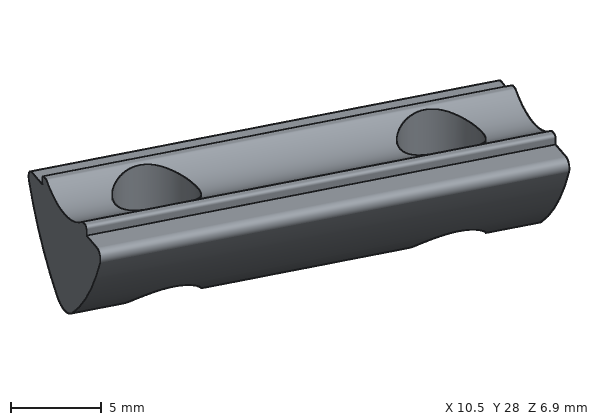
import cadquery as cq
import math

length = 28.0
width = 10.5
height = 6.9

shelf_depth = 0.6
lip_half_width = 3.22
lip_outer_fillet = 0.2
lip_inner_fillet = 0.2
groove_depth = 0.85
groove_radius = 4.55
shoulder_radius = 0.5
nose_radius = 1.82
flank_radius = 14.0

hole_diameter = 4.93
hole_spacing = 17.0


def point_on_circle(center, radius, angle):
    return (center[0] + radius * math.cos(angle), center[1] + radius * math.sin(angle))


def mirrored(point):
    return (-point[0], point[1])


shoulder_center = (width / 2 - shoulder_radius, -shelf_depth - shoulder_radius)
nose_center = (0, nose_radius - height)
shoulder_distance = flank_radius - shoulder_radius
nose_distance = flank_radius - nose_radius
center_dx = shoulder_center[0] - nose_center[0]
center_dz = shoulder_center[1] - nose_center[1]
center_gap = math.hypot(center_dx, center_dz)
along = (nose_distance**2 - shoulder_distance**2 + center_gap**2) / (2 * center_gap)
across = math.sqrt(nose_distance**2 - along**2)
flank_center = (
    nose_center[0] + (along * center_dx - across * center_dz) / center_gap,
    nose_center[1] + (along * center_dz + across * center_dx) / center_gap,
)

shoulder_angle = math.atan2(shoulder_center[1] - flank_center[1], shoulder_center[0] - flank_center[0])
nose_angle = math.atan2(nose_center[1] - flank_center[1], nose_center[0] - flank_center[0])
flank_top = point_on_circle(flank_center, flank_radius, shoulder_angle)
flank_middle = point_on_circle(flank_center, flank_radius, (shoulder_angle + nose_angle) / 2)
flank_bottom = point_on_circle(flank_center, flank_radius, nose_angle)

shelf_end = (shoulder_center[0], -shelf_depth)
shoulder_middle = point_on_circle(shoulder_center, shoulder_radius, (math.pi / 2 + shoulder_angle) / 2)
lip_foot = (lip_half_width, -shelf_depth)
lip_corner = (lip_half_width, 0)
groove_half_width = math.sqrt(groove_radius**2 - (groove_radius - groove_depth) ** 2)
groove_edge = (groove_half_width, 0)

bar = (
    cq.Workplane("XZ")
    .moveTo(*groove_edge)
    .lineTo(*lip_corner)
    .lineTo(*lip_foot)
    .lineTo(*shelf_end)
    .threePointArc(shoulder_middle, flank_top)
    .threePointArc(flank_middle, flank_bottom)
    .threePointArc((0, -height), mirrored(flank_bottom))
    .threePointArc(mirrored(flank_middle), mirrored(flank_top))
    .threePointArc(mirrored(shoulder_middle), mirrored(shelf_end))
    .lineTo(*mirrored(lip_foot))
    .lineTo(*mirrored(lip_corner))
    .lineTo(*mirrored(groove_edge))
    .threePointArc((0, -groove_depth), groove_edge)
    .close()
    .extrude(length / 2, both=True)
)


def round_lip_edges(body, half_width, radius):
    """Round the pair of lengthwise top edges at +/- half_width."""
    edges = body.edges(cq.NearestToPointSelector((half_width, 0, 0)))
    edges = edges.add(body.edges(cq.NearestToPointSelector((-half_width, 0, 0))))
    return edges.fillet(radius)


bar = round_lip_edges(bar, lip_half_width, lip_outer_fillet)
bar = round_lip_edges(bar, groove_half_width, lip_inner_fillet)

holes = (
    cq.Workplane("XY")
    .pushPoints([(0, side * hole_spacing / 2) for side in (-1, 1)])
    .circle(hole_diameter / 2)
    .extrude(-height)
)

result = bar.cut(holes)